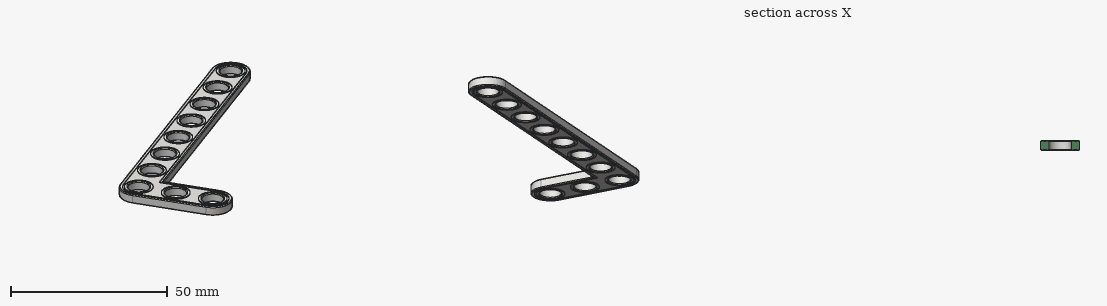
import cadquery as cq

pitch = 12.5
long_arm_holes = 8
short_arm_holes = 3
thickness = 3.1
hole_diameter = 7.0
collar_diameter = 9.2
edge_chamfer = 0.3
rim_width = 1.1
recess_depth = 0.2

arm_width = pitch
long_span = (long_arm_holes - 1) * pitch
short_span = (short_arm_holes - 1) * pitch

hole_centers = [(0, row * pitch) for row in range(long_arm_holes)]
hole_centers += [(column * pitch, 0) for column in range(1, short_arm_holes)]


def angle_plate(half_width, height):
    """L-shaped plate standing on Z = 0, its edge half_width away from the hole lines."""
    outline = (
        cq.Workplane("XY")
        .moveTo(0, -half_width)
        .lineTo(short_span, -half_width)
        .threePointArc((short_span + half_width, 0), (short_span, half_width))
        .lineTo(half_width, half_width)
        .lineTo(half_width, long_span)
        .threePointArc((0, long_span + half_width), (-half_width, long_span))
        .lineTo(-half_width, 0)
        .radiusArc((0, -half_width), -half_width)
        .close()
    )
    return outline.extrude(height)


def cylinders(diameter, height):
    """One cylinder at every hole position, standing on Z = 0."""
    return cq.Workplane("XY").pushPoints(hole_centers).circle(diameter / 2).extrude(height)


plate = angle_plate(arm_width / 2, thickness).cut(cylinders(hole_diameter, thickness))
plate = plate.faces("<Z or >Z").edges().chamfer(edge_chamfer)

recess = angle_plate(arm_width / 2 - rim_width, recess_depth).cut(cylinders(collar_diameter, recess_depth))
plate = plate.cut(recess)
plate = plate.cut(recess.translate((0, 0, thickness - recess_depth)))

result = plate